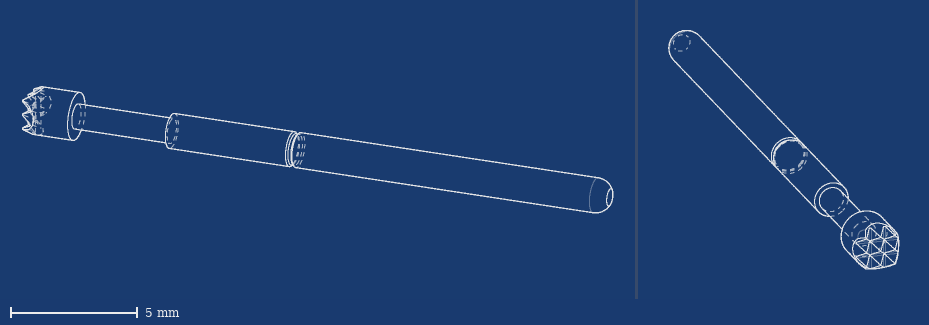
import cadquery as cq
import math

total_length = 24.65
head_diameter = 1.92
head_length = 2.05
plunger_diameter = 1.0
barrel_diameter = 1.4
barrel_start = 6.09
groove_position = 11.3
groove_depth = 0.07
groove_width = 0.27
groove_floor_width = 0.12
tail_length = 0.6
end_flat_diameter = 0.7
tooth_pitch = 0.6
tooth_tip_width = 0.05
v_angle = 60.0
v_root_radius = 0.05
head_sides = 4
corner_flat_depth = 0.07
corner_flat_length = 0.57

tip_x = -total_length / 2
end_x = total_length / 2
head_end_x = tip_x + head_length
barrel_start_x = tip_x + barrel_start
groove_x = tip_x + groove_position

head_radius = head_diameter / 2
plunger_radius = plunger_diameter / 2
barrel_radius = barrel_diameter / 2
end_flat_radius = end_flat_diameter / 2
groove_floor_radius = barrel_radius - groove_depth

v_width = tooth_pitch - tooth_tip_width
v_slope = math.tan(math.radians(v_angle / 2))
v_depth = v_width / 2 / v_slope

side_bevel_start = tooth_pitch + tooth_tip_width / 2

corner_bevel_start = head_radius - corner_flat_depth
corner_bevel_slope = corner_flat_depth / corner_flat_length


def make_body():
    """Turned profile of head, plunger and barrel with a rounded, flat-ended tail."""
    return (
        cq.Workplane("XY")
        .moveTo(tip_x, 0)
        .lineTo(tip_x, head_radius)
        .lineTo(head_end_x, head_radius)
        .lineTo(head_end_x, plunger_radius)
        .lineTo(barrel_start_x, plunger_radius)
        .lineTo(barrel_start_x, barrel_radius)
        .lineTo(groove_x - groove_width / 2, barrel_radius)
        .lineTo(groove_x - groove_floor_width / 2, groove_floor_radius)
        .lineTo(groove_x + groove_floor_width / 2, groove_floor_radius)
        .lineTo(groove_x + groove_width / 2, barrel_radius)
        .lineTo(end_x - tail_length, barrel_radius)
        .tangentArcPoint((end_x, end_flat_radius), relative=False)
        .lineTo(end_x, 0)
        .close()
        .revolve(360, (0, 0, 0), (1, 0, 0))
    )


def make_v_cut(offset):
    """Round-rooted V prism along Z, open at the tooth tips and centred at Y = offset."""
    return (
        cq.Workplane("XY")
        .moveTo(tip_x, offset - v_width / 2)
        .lineTo(tip_x + v_depth, offset)
        .lineTo(tip_x, offset + v_width / 2)
        .close()
        .extrude(head_radius, both=True)
        .edges(">X")
        .fillet(v_root_radius)
    )


def make_bevel(start_radius, slope):
    """Wedge along Z that removes the rim of the head beyond a plane sloping out from the tips."""
    return (
        cq.Workplane("XY")
        .moveTo(tip_x, start_radius)
        .lineTo(tip_x + head_length, start_radius + slope * head_length)
        .lineTo(tip_x, start_radius + slope * head_length)
        .close()
        .extrude(head_radius, both=True)
    )


def rotate_about_axis(shape, angle):
    """Turn a shape about the pin axis by an angle in degrees."""
    return shape.rotate((0, 0, 0), (1, 0, 0), angle)


def cut_teeth(body):
    """Crossed V cuts and eight rim bevels leave a three by three grid of teeth."""
    for offset in (-tooth_pitch / 2, tooth_pitch / 2):
        v_cut = make_v_cut(offset)
        body = body.cut(v_cut).cut(rotate_about_axis(v_cut, 90))
    side_bevel = make_bevel(side_bevel_start, v_slope)
    corner_bevel = make_bevel(corner_bevel_start, corner_bevel_slope)
    side_angle = 360 / head_sides
    for side in range(head_sides):
        body = body.cut(rotate_about_axis(side_bevel, side * side_angle))
        body = body.cut(rotate_about_axis(corner_bevel, (side + 0.5) * side_angle))
    return body


result = cut_teeth(make_body())